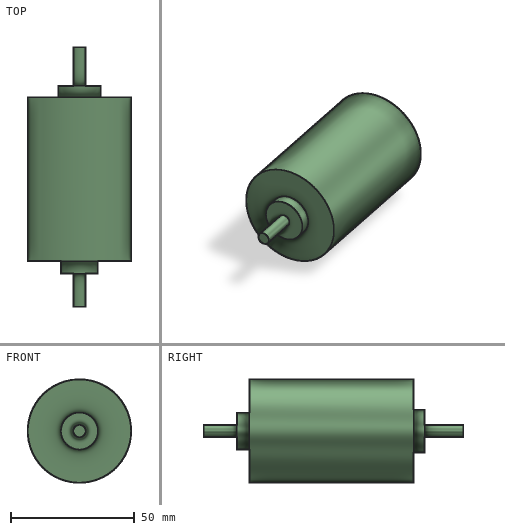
import cadquery as cq

overall_length = 105.2
body_diameter = 42.0
body_length = 66.5
front_boss_diameter = 15.0
front_boss_length = 5.0
rear_boss_diameter = 17.4
rear_boss_length = 4.5
shaft_diameter = 5.0
front_shaft_length = 13.5

front_boss_face = -front_boss_length
shaft_front_end = front_boss_face - front_shaft_length
rear_boss_face = body_length + rear_boss_length
shaft_rear_end = shaft_front_end + overall_length


def cylinder_along_y(diameter, y_start, y_end):
    """Solid cylinder on the Y axis between two stations."""
    plane = cq.Workplane("XZ").workplane(offset=-y_start)
    return plane.circle(diameter / 2).extrude(y_start - y_end)


body = cylinder_along_y(body_diameter, 0, body_length)
front_boss = cylinder_along_y(front_boss_diameter, front_boss_face, 0)
rear_boss = cylinder_along_y(rear_boss_diameter, body_length, rear_boss_face)

front_shaft = cylinder_along_y(shaft_diameter, shaft_front_end, front_boss_face)
rear_shaft = cylinder_along_y(shaft_diameter, rear_boss_face, shaft_rear_end)

result = body.union(front_boss).union(rear_boss).union(front_shaft).union(rear_shaft)